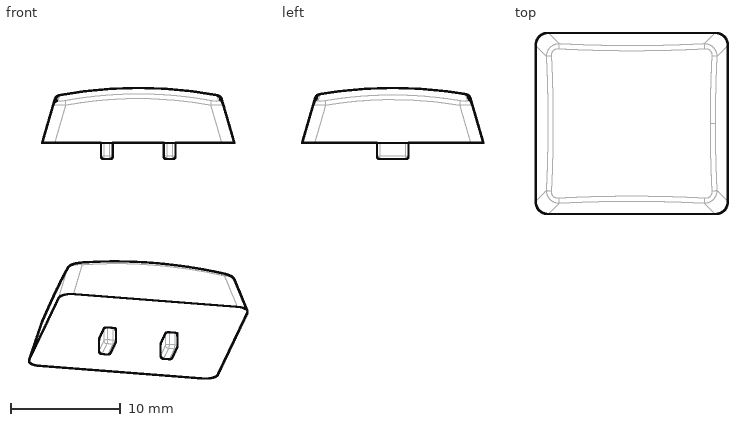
import cadquery as cq

cap_length = 17.5
cap_width = 16.5
cap_height = 5.0
wall_taper = 16.2
corner_radius = 1.2
dome_radius = 39.38
rim_fillet = 0.6

leg_spacing = 5.7
leg_thickness = 1.1
leg_width = 2.9
leg_height = 1.49
leg_corner_radius = 0.3
leg_tip_fillet = 0.28


def make_cap():
    """Tapered block with rounded corners, trimmed by a sphere, its rim rounded."""
    block = (
        cq.Workplane("XY")
        .rect(cap_length, cap_width)
        .extrude(cap_height, taper=wall_taper)
        .edges("not(#Z)")
        .fillet(corner_radius)
    )
    dome = cq.Workplane("XY").sphere(dome_radius).translate((0, 0, cap_height - dome_radius))
    return block.intersect(dome).faces(">Z").edges().fillet(rim_fillet)


def make_leg():
    """Rounded rectangular leg hanging below the cap, its tip rounded."""
    return (
        cq.Workplane("XY")
        .rect(leg_thickness, leg_width)
        .extrude(-leg_height)
        .edges("|Z")
        .fillet(leg_corner_radius)
        .faces("<Z")
        .edges()
        .fillet(leg_tip_fillet)
    )


result = make_cap()
for side in (-1, 1):
    result = result.union(make_leg().translate((side * leg_spacing / 2, 0, 0)))